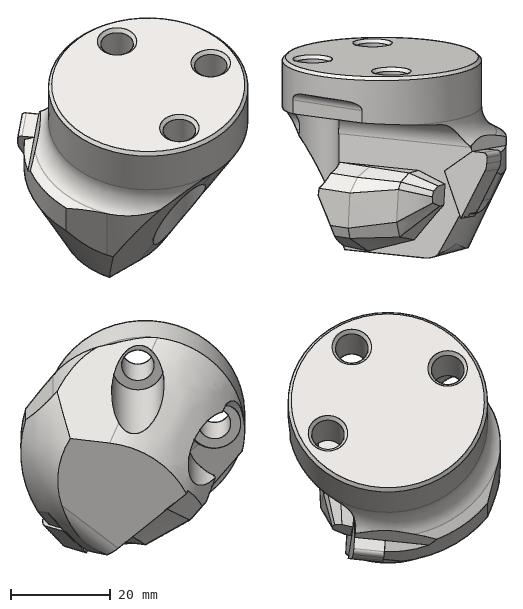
import cadquery as cq
import math

FAR = 60.0

total_height = 38.5
flange_radius = 20.0
flange_bottom = 28.5
flange_chamfer = 0.65

neck_radius = 6.0
neck_sweep = math.radians(60)
skirt_radius = 24.93
cone_angle = math.radians(25)
cone_bottom_radius = 17.5

front_flat_y = -23.0
flat_end_x = -0.96
side_round_radius = 16.7
side_round_sweep = math.radians(39.3)

lean_angle = math.radians(28)
lean_flat_angle = math.radians(32)

toe_radius = 4.5
toe_x = -17.5

hole_offset = 9.9
hole_diameter = 6.5
hole_mouth_diameter = 7.9
counterbore_diameter = 10.5

flange_flat_y = 18.0
flange_step_z = 33.5
flange_step_radius = 1.9

rake_corner = (-26.84, 0.4, 22.3)
rake_turn = math.radians(10.3)
rake_tilt = math.radians(5.9)
rake_normal = (
    math.sin(rake_turn) * math.cos(rake_tilt),
    -math.cos(rake_turn) * math.cos(rake_tilt),
    -math.sin(rake_tilt),
)
rake_plane = cq.Plane(
    origin=rake_corner,
    xDir=(math.cos(rake_turn), math.sin(rake_turn), 0),
    normal=rake_normal,
)
gullet_ceiling = 5.3
gullet_radius = 4.5

insert_thickness = 6.2
insert_land = 3.4
insert_inner_run = 6.0
insert_inner_drop = 4.5
insert_length = 13.7
insert_flank_angle = math.radians(26)
nose_height = 3.0
nose_radius = 0.9
nose_flank_radius = 3.7

relief_nose_setback = 1.1
relief_flank_setback = 0.65
relief_length = 15.4
relief_depth = 30.0
relief_runout_radius = 4.8
chip_step_rise = 3.0
chip_step_run = 1.3


def flank_x(y, setback=0.0):
    """Position of the insert's flank line at height y in the rake frame."""
    return (-y - nose_height) * math.tan(insert_flank_angle) + setback


def nearest_to(x, y, z):
    """Selector for the edge nearest to a point given in the rake frame."""
    return cq.selectors.NearestToPointSelector(rake_plane.toWorldCoords((x, y, z)).toTuple())


def make_blank():
    """Turned blank below the flange: cone, cylindrical skirt, sloped shoulder and concave neck."""
    cone_height = (skirt_radius - cone_bottom_radius) / math.tan(cone_angle)
    neck_end_radius = flange_radius + neck_radius * (1 - math.cos(neck_sweep))
    neck_end_z = flange_bottom - neck_radius * math.sin(neck_sweep)
    shoulder_z = neck_end_z - (skirt_radius - neck_end_radius) / math.tan(neck_sweep)
    neck_mid = (
        flange_radius + neck_radius * (1 - math.cos(neck_sweep / 2)),
        flange_bottom - neck_radius * math.sin(neck_sweep / 2),
    )
    return (
        cq.Workplane("XZ")
        .moveTo(0, 0)
        .lineTo(cone_bottom_radius, 0)
        .lineTo(skirt_radius, cone_height)
        .lineTo(skirt_radius, shoulder_z)
        .lineTo(neck_end_radius, neck_end_z)
        .threePointArc(neck_mid, (flange_radius, flange_bottom))
        .lineTo(0, flange_bottom)
        .close()
        .revolve(360, (0, 0), (0, 1))
    )


def make_side_limit():
    """Upright prism that carries the -Y flat and the round beside it."""
    centre_y = front_flat_y + side_round_radius

    def on_round(angle):
        return (
            flat_end_x + side_round_radius * math.sin(angle),
            centre_y - side_round_radius * math.cos(angle),
        )

    end = on_round(side_round_sweep)
    tangent_run = FAR - end[0]
    return (
        cq.Workplane("XY")
        .moveTo(-FAR, front_flat_y)
        .lineTo(flat_end_x, front_flat_y)
        .threePointArc(on_round(side_round_sweep / 2), end)
        .lineTo(FAR, end[1] + tangent_run * math.tan(side_round_sweep))
        .lineTo(FAR, FAR)
        .lineTo(-FAR, FAR)
        .close()
        .extrude(flange_bottom)
    )


def make_lean_limit():
    """Oblique prism from the flange circle: the leaning +X side and the flat tangent to it."""
    cos_flat = math.cos(lean_flat_angle)
    sin_flat = math.sin(lean_flat_angle)
    tangent_point = (flange_radius * cos_flat, -flange_radius * sin_flat)
    flat_end = (tangent_point[0] - FAR * sin_flat, tangent_point[1] - FAR * cos_flat)
    outline = (
        cq.Workplane("XY", origin=(0, 0, flange_bottom))
        .moveTo(*flat_end)
        .lineTo(*tangent_point)
        .threePointArc((flange_radius, 0), (0, flange_radius))
        .lineTo(-FAR, flange_radius)
        .lineTo(-FAR, flat_end[1])
        .close()
        .wire()
        .val()
    )
    lean = cq.Vector(-flange_bottom * math.tan(lean_angle), 0, -flange_bottom)
    return cq.Workplane(cq.Solid.extrudeLinear(outline, [], lean))


def make_toe_cut():
    """Waste outside the rounded lower corner on the -X side, straight along Y."""
    half_turn = math.pi / 4 - cone_angle / 2
    tangent = toe_radius * math.tan(half_turn)
    centre = (toe_x + tangent, toe_radius)
    arc_mid = (
        centre[0] - toe_radius * math.sin(half_turn),
        centre[1] - toe_radius * math.cos(half_turn),
    )
    arc_top = (toe_x - tangent * math.sin(cone_angle), tangent * math.cos(cone_angle))
    return (
        cq.Workplane("XZ")
        .moveTo(toe_x + tangent, 0)
        .threePointArc(arc_mid, arc_top)
        .lineTo(-FAR, arc_top[1])
        .lineTo(-FAR, 0)
        .close()
        .extrude(FAR, both=True)
    )


def make_gullet():
    """Chip space in front of the rake face, rounded into its ceiling."""
    return (
        cq.Workplane(rake_plane)
        .moveTo(0, gullet_ceiling - FAR)
        .rect(2 * FAR, 2 * FAR)
        .extrude(-FAR)
        .edges(nearest_to(0, gullet_ceiling, 0))
        .fillet(gullet_radius)
    )


def make_lobe():
    """Tapered lobe that stays standing in the gullet; each section is (x, outline in y and z)."""
    sections = [
        (-18.0, [(0, 15.2), (5, 15.2), (6.5, 14.4), (7, 13.3), (6.8, 12), (4.5, 11), (0, 11)]),
        (-12.0, [(0, 17.4), (6.8, 17.4), (9.5, 16), (10.3, 14.6), (10.9, 8), (9.9, 4.8), (0, 2)]),
        (-2.0, [(0, 17.4), (6.8, 17.4), (10.7, 15.9), (13.2, 13.1), (13.8, 6), (13.2, 3.8), (0, -4.1)]),
    ]
    wires = [
        cq.Wire.makePolygon([cq.Vector(x, y, z) for y, z in outline], close=True)
        for x, outline in sections
    ]
    taper = cq.Workplane(cq.Solid.makeLoft(wires, True))
    root = cq.Workplane(cq.Solid.extrudeLinear(wires[-1], [], cq.Vector(FAR, 0, 0)))
    return taper.union(root)


def make_flange():
    """Round flange with a chamfered top rim and a step cut on its +Y side."""
    flange = (
        cq.Workplane("XY", origin=(0, 0, flange_bottom))
        .circle(flange_radius)
        .extrude(total_height - flange_bottom)
        .faces(">Z")
        .chamfer(flange_chamfer)
    )
    r = flange_step_radius
    arc_inset = r * (1 - math.sqrt(0.5))
    arc_mid = (flange_flat_y + arc_inset, flange_step_z - arc_inset)
    arc_end = (flange_flat_y + r, flange_step_z)
    step = (
        cq.Workplane("YZ")
        .moveTo(flange_flat_y, 0)
        .lineTo(flange_flat_y, flange_step_z - r)
        .threePointArc(arc_mid, arc_end)
        .lineTo(FAR, flange_step_z)
        .lineTo(FAR, 0)
        .close()
        .extrude(FAR, both=True)
    )
    return flange.cut(step)


def make_insert():
    """Cutting insert: rounded nose, sloping flank and a hidden inner edge."""
    foot_x = flank_x(-insert_length)
    return (
        cq.Workplane(rake_plane)
        .polyline([
            (0, 0),
            (insert_land, 0),
            (insert_land + insert_inner_run, -insert_inner_drop),
            (foot_x, -insert_length),
            (0, -nose_height),
        ])
        .close()
        .extrude(insert_thickness)
        .edges(nearest_to(0, 0, insert_thickness / 2))
        .fillet(nose_radius)
        .edges(nearest_to(0, -nose_height, insert_thickness / 2))
        .fillet(nose_flank_radius)
    )


def make_chip_groove():
    """Groove above the insert, level with its top, rising into the neck."""
    return (
        cq.Workplane(rake_plane)
        .polyline([
            (-FAR, 0),
            (insert_land, 0),
            (insert_land + chip_step_run, chip_step_rise),
            (-FAR, chip_step_rise),
        ])
        .close()
        .extrude(relief_depth)
    )


def make_relief():
    """Clearance cut behind the insert, set back from its outline with a rounded run-out."""
    r = relief_runout_radius
    runout_y = r - relief_length
    start_x = flank_x(runout_y, relief_flank_setback)
    extra_setback = relief_nose_setback - relief_flank_setback
    nose_end_y = -nose_height - extra_setback / math.tan(insert_flank_angle)
    cos_f = math.cos(insert_flank_angle)
    sin_f = math.sin(insert_flank_angle)
    centre = (start_x - r * cos_f, runout_y - r * sin_f)
    middle = insert_flank_angle - math.pi / 4
    arc_mid = (centre[0] + r * math.cos(middle), centre[1] + r * math.sin(middle))
    arc_end = (centre[0] + r * sin_f, centre[1] - r * cos_f)
    return (
        cq.Workplane(rake_plane)
        .moveTo(insert_land, 0)
        .lineTo(relief_nose_setback, -relief_nose_setback)
        .lineTo(relief_nose_setback, nose_end_y)
        .lineTo(start_x, runout_y)
        .threePointArc(arc_mid, arc_end)
        .lineTo(-FAR, arc_end[1])
        .lineTo(-FAR, 0)
        .close()
        .extrude(relief_depth)
    )


stock = make_blank().intersect(make_side_limit()).intersect(make_lean_limit()).cut(make_toe_cut())
insert = make_insert()
head = stock.union(make_flange()).cut(make_gullet()).union(make_lobe().intersect(stock))
head = head.cut(make_chip_groove()).cut(make_relief()).cut(insert)

mouth_depth = (hole_mouth_diameter - hole_diameter) / 2
for x, y in [(-hole_offset, hole_offset), (hole_offset, hole_offset), (hole_offset, -hole_offset)]:
    hole = cq.Workplane("XY", origin=(x, y, total_height)).circle(hole_diameter / 2)
    head = head.cut(hole.extrude(flange_bottom - total_height))
    mouth = cq.Solid.makeCone(
        hole_diameter / 2,
        hole_mouth_diameter / 2,
        mouth_depth,
        pnt=cq.Vector(x, y, total_height - mouth_depth),
    )
    head = head.cut(cq.Workplane(mouth))
    if x > 0:
        bore = cq.Workplane("XY", origin=(x, y, 0)).circle(counterbore_diameter / 2).extrude(flange_bottom)
        head = head.cut(bore)

result = cq.Compound.makeCompound([head.solids().val(), insert.solids().val()])